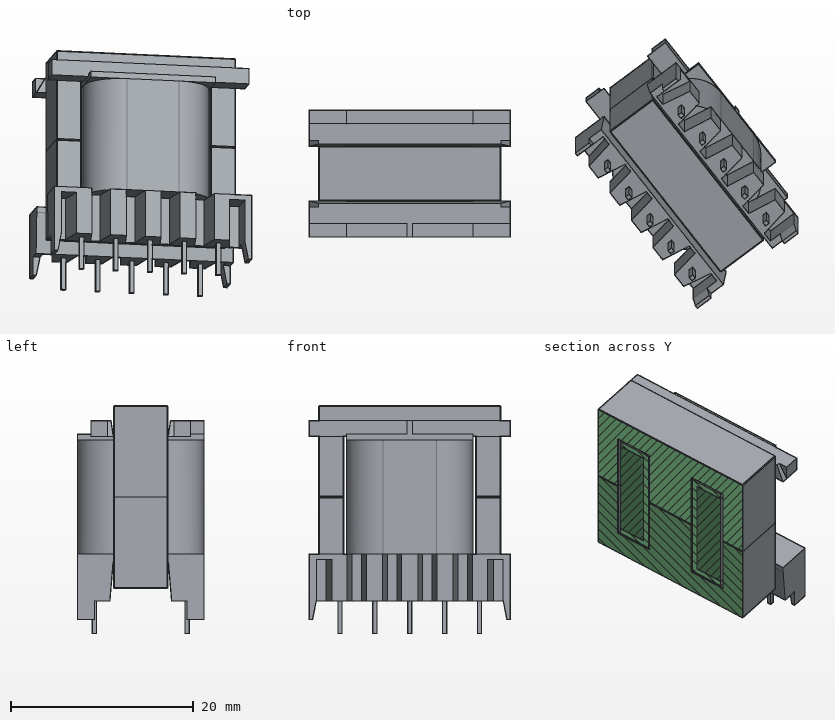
import cadquery as cq

total_height = 24.95
bobbin_length = 22.0
bobbin_depth = 13.9

core_length = 20.0
core_depth = 6.0
core_half_height = 10.0
core_yoke = 3.0
core_outer_leg = 2.8
core_centre_leg = 5.9
core_edge_break = 0.1

winding_height = 12.48
winding_corner_radius = 4.05
winding_bottom = 8.7

core_channel = 6.0
tube_wall = 0.65
flange_thickness = 0.65

bar_outer_y = 5.46
bar_bottom = 21.58
bar_top = 23.3
bar_lead_in = 0.25
bar_notch_length = 1.02
bar_notch_y = 3.65
key_width = 0.65

base_bottom = 3.55
base_lead_in = 0.37
foot_bottom = 1.52
foot_inner_y = 5.05
foot_wall = 0.77
foot_tip_wall = 0.37

pin_count = 5
pin_pitch = 3.82
pin_row_spacing = 10.15
pin_width = 0.47

slot_count = 4
slot_pitch = 3.87
slot_depth = 3.25
slot_mouth = 2.1
slot_side_slope = 0.52
recess_top = 8.13
recess_mouth = 1.7
recess_side_slope = 0.62

core_split = total_height - core_half_height
half_length = bobbin_length / 2
half_depth = bobbin_depth / 2
channel_y = core_channel / 2
winding_top = winding_bottom + winding_height
flange_top = winding_top + flange_thickness
flange_bottom = winding_bottom - flange_thickness
tube_width = core_channel + 2 * tube_wall
slot_floor_y = half_depth - slot_depth


def box(x_range, y_range, z_range):
    """Box between two limits on each axis."""
    size = [high - low for low, high in (x_range, y_range, z_range)]
    corner = (x_range[0], y_range[0], z_range[0])
    return cq.Workplane("XY").box(*size, centered=False).translate(corner)


def centred_block(length, depth, bottom, top):
    """Box centred on the Z axis between two heights."""
    return box((-length / 2, length / 2), (-depth / 2, depth / 2), (bottom, top))


def extrude_along_x(profile, length):
    """Solid of a closed Y-Z profile, centred on X = 0."""
    return cq.Workplane("YZ").polyline(profile).close().extrude(length / 2, both=True)


def extrude_along_y(profile, y_start, y_end):
    """Solid of a closed X-Z profile between two Y positions."""
    sketch = cq.Workplane("XZ", origin=(0, y_start, 0)).polyline(profile).close()
    return sketch.extrude(y_start - y_end)


def with_mirror(solid, plane):
    """The solid together with its mirror image."""
    return solid.union(solid.mirror(plane))


def make_upper_core():
    """E with its legs pointing down; the rims of both large faces and the ends of the yoke are broken."""
    core = centred_block(core_length, core_depth, core_split, total_height)
    window_half = core_length / 2 - core_outer_leg
    window = box(
        (core_centre_leg / 2, window_half),
        (-core_depth / 2, core_depth / 2),
        (core_split, total_height - core_yoke),
    )
    core = core.cut(with_mirror(window, "YZ"))
    core = core.edges(">Z and |Y").chamfer(core_edge_break)
    return core.faces("<Y or >Y").edges().chamfer(core_edge_break)


def make_winding():
    winding = centred_block(bobbin_depth, bobbin_depth, winding_bottom, winding_top)
    winding = winding.edges("|Z").fillet(winding_corner_radius)
    return winding.cut(centred_block(tube_width, tube_width, winding_bottom, winding_top))


def make_top_bar():
    """Front bar beside the upper yoke, with a sloped inner face and a bevelled notch at each end."""
    profile = [
        (-bar_outer_y, bar_bottom),
        (-channel_y, bar_bottom),
        (-channel_y - bar_lead_in, bar_top),
        (-bar_outer_y, bar_top),
    ]
    bar = extrude_along_x(profile, bobbin_length)
    notch_profile = [
        (half_length, bar_bottom),
        (half_length, bar_top),
        (half_length - bar_notch_length, bar_top),
    ]
    notch = extrude_along_y(notch_profile, -bar_notch_y, -channel_y)
    return bar.cut(with_mirror(notch, "YZ"))


def make_key():
    """Rib on the front flange that marks the pin 1 side."""
    return box((-key_width / 2, key_width / 2), (-half_depth, -bar_outer_y), (winding_top, bar_top))


def extrude_base_pocket(profile, top):
    """Cutter of a closed X-Y profile from the bottom of the base up to a height."""
    sketch = cq.Workplane("XY", origin=(0, 0, base_bottom)).polyline(profile).close()
    return sketch.extrude(top - base_bottom)


def make_slot(x):
    """Slot over the full height of the front of the base, narrowing toward its floor."""
    mouth_half = slot_mouth / 2
    floor_half = mouth_half - slot_side_slope
    profile = [
        (x - mouth_half, -half_depth),
        (x + mouth_half, -half_depth),
        (x + floor_half, -slot_floor_y),
        (x - floor_half, -slot_floor_y),
    ]
    return extrude_base_pocket(profile, winding_bottom)


def make_end_recess():
    """Recess beside the +X end wall, closed on top, with one sloped side."""
    wall_x = half_length - foot_wall
    mouth_x = wall_x - recess_mouth
    profile = [
        (wall_x, -half_depth),
        (mouth_x, -half_depth),
        (mouth_x + recess_side_slope, -slot_floor_y),
        (wall_x, -slot_floor_y),
    ]
    return extrude_base_pocket(profile, recess_top)


def make_foot():
    """Tapered foot at the front +X corner, below the end wall of the base."""
    profile = [
        (half_length, base_bottom),
        (half_length, foot_bottom),
        (half_length - foot_tip_wall, foot_bottom),
        (half_length - foot_wall, base_bottom),
    ]
    return extrude_along_y(profile, -half_depth, -foot_inner_y)


def make_base_side():
    """Front terminal base with its slots, feet and pins."""
    profile = [
        (-half_depth, base_bottom),
        (-channel_y - base_lead_in, base_bottom),
        (-channel_y, flange_bottom),
        (-channel_y, winding_bottom),
        (-half_depth, winding_bottom),
    ]
    base = extrude_along_x(profile, bobbin_length)

    for index in range(slot_count):
        base = base.cut(make_slot((index - (slot_count - 1) / 2) * slot_pitch))
    base = base.cut(with_mirror(make_end_recess(), "YZ"))

    base = base.union(with_mirror(make_foot(), "YZ"))

    pin_y = -pin_row_spacing / 2
    for index in range(pin_count):
        x = (index - (pin_count - 1) / 2) * pin_pitch
        pin = centred_block(pin_width, pin_width, 0, base_bottom)
        base = base.union(pin.translate((x, pin_y, 0)))
    return base


def make_bobbin():
    """Tube with two flanges, top bars and terminal bases on both sides, open for the centre leg."""
    bobbin = centred_block(tube_width, tube_width, flange_bottom, flange_top)
    bobbin = bobbin.union(centred_block(bobbin_depth, bobbin_depth, winding_top, flange_top))
    bobbin = bobbin.union(centred_block(bobbin_depth, core_channel, flange_bottom, winding_bottom))
    bobbin = bobbin.union(with_mirror(make_top_bar(), "XZ"))
    bobbin = bobbin.union(with_mirror(make_base_side(), "XZ"))
    bobbin = bobbin.union(make_key())
    return bobbin.cut(centred_block(core_channel, core_channel, flange_bottom, flange_top))


upper_core = make_upper_core()
lower_core = upper_core.mirror("XY", (0, 0, core_split))
winding = make_winding()
bobbin = make_bobbin()

result = cq.Compound.makeCompound(
    [upper_core.val(), lower_core.val(), winding.val(), bobbin.val()]
)